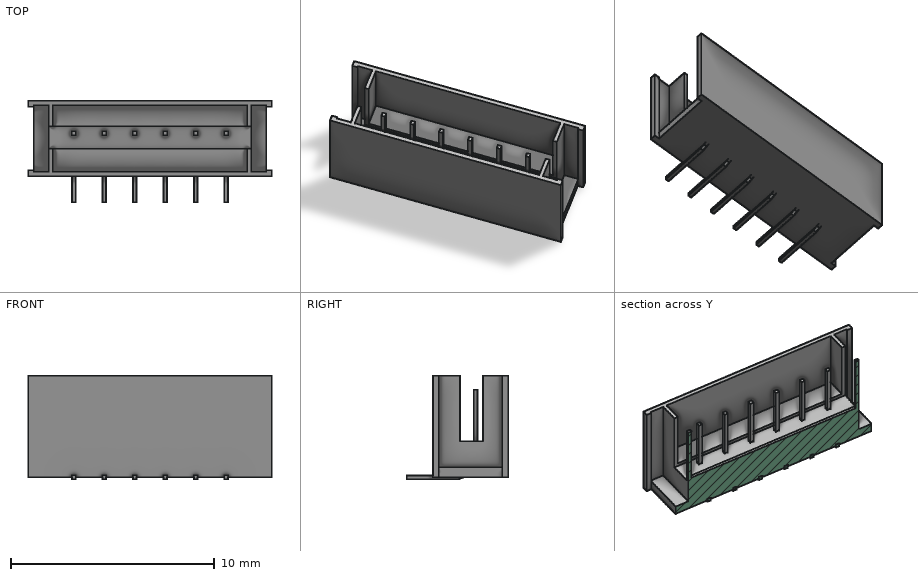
import cadquery as cq
import math

LENGTH = 12.0
DEPTH = 3.72
HEIGHT = 5.0
SIDE_WALL = 0.23
END_WALL = 0.2
END_WALL_INSET = 1.01
LIP_LENGTH = 0.28
LIP_THICKNESS = 0.3
LEDGE_HEIGHT = 0.5
CHANNEL_WIDTH = 1.12
CHANNEL_FLOOR = 1.79
CHANNEL_Y = 0.05
CHANNEL_DEPTH = 0.18
CAVITY_FLOOR = CHANNEL_FLOOR + CHANNEL_DEPTH

PIN_COUNT = 6
PIN_PITCH = 1.5
PIN_SIZE = 0.19
PIN_TOP = 4.32
PIN_Y = 0.25
FOOT_OVERHANG = 1.28
FOOT_DROP = 0.1
SLOPE_TOP_Z = 0.28
SLOPE_END_Y = -0.59


def block(length, depth, bottom, top, x=0.0):
    """Box centred at (x, 0) between two heights."""
    size = (length, depth, top - bottom)
    return cq.Workplane("XY").box(*size, centered=(True, True, False)).translate((x, 0, bottom))


def make_pin(x):
    """Bent pin whose wire is centred on x."""
    back = PIN_Y + PIN_SIZE / 2
    front = PIN_Y - PIN_SIZE / 2
    foot_bottom = -FOOT_DROP
    foot_top = foot_bottom + PIN_SIZE
    foot_tip = -DEPTH / 2 - FOOT_OVERHANG
    slope_angle = math.atan2(SLOPE_TOP_Z - foot_bottom, back - SLOPE_END_Y)
    inner_end_y = SLOPE_END_Y - PIN_SIZE * math.tan(slope_angle / 2)
    inner_top_z = SLOPE_TOP_Z + PIN_SIZE * math.tan((math.pi / 2 - slope_angle) / 2)
    profile = [
        (back, PIN_TOP),
        (back, SLOPE_TOP_Z),
        (SLOPE_END_Y, foot_bottom),
        (foot_tip, foot_bottom),
        (foot_tip, foot_top),
        (inner_end_y, foot_top),
        (front, inner_top_z),
        (front, PIN_TOP),
    ]
    start = (x - PIN_SIZE / 2, 0, 0)
    return cq.Workplane("YZ", origin=start).polyline(profile).close().extrude(PIN_SIZE)


def make_housing(pins):
    """Open box with slotted end walls, end ledges and a passage for each pin."""
    inner_depth = DEPTH - 2 * SIDE_WALL
    cavity_length = LENGTH - 2 * (END_WALL_INSET + END_WALL)
    body = block(LENGTH, DEPTH, 0, HEIGHT)
    body = body.cut(block(cavity_length, inner_depth, CAVITY_FLOOR, HEIGHT))

    channel = block(LENGTH, CHANNEL_WIDTH, CHANNEL_FLOOR, HEIGHT).translate((0, CHANNEL_Y, 0))
    body = body.cut(channel)

    pocket_length = END_WALL_INSET - LIP_LENGTH
    for side in (-1, 1):
        pocket_x = side * (LENGTH / 2 - LIP_LENGTH - pocket_length / 2)
        body = body.cut(block(pocket_length, inner_depth, LEDGE_HEIGHT, HEIGHT, pocket_x))
        opening_x = side * (LENGTH / 2 - LIP_LENGTH / 2)
        body = body.cut(block(LIP_LENGTH, DEPTH - 2 * LIP_THICKNESS, 0, HEIGHT, opening_x))

    for pin in pins:
        body = body.cut(pin)
    return body.solids()


first_pin_x = -PIN_PITCH * (PIN_COUNT - 1) / 2
pins = [make_pin(first_pin_x + i * PIN_PITCH) for i in range(PIN_COUNT)]
housing = make_housing(pins)

result = cq.Compound.makeCompound([housing.val(), *[pin.val() for pin in pins]])